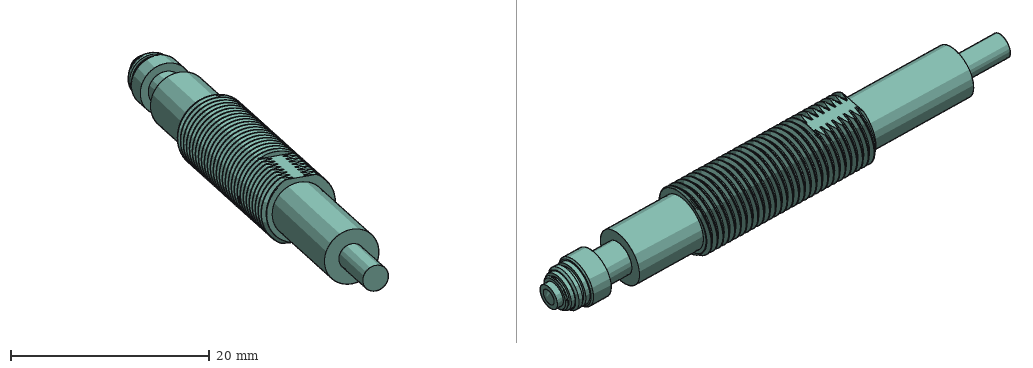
import cadquery as cq
import math

length = 58.8
nose_start = 0.4
collar_start = 1.2
collar_chamfer_end = 1.35
collar_groove_end = 1.65
ring_chamfer_start = 2.1
ring_chamfer_end = 2.35
ring_end = 2.8
flange_start = 3.25
flange_end = 3.75
head_start = 3.95
neck_start = 6.25
body_start = 9.6
thread_start = 17.8
flats_start = 33.75
thread_end = 39.7
pin_start = 52.8

tip_radius = 0.9
nose_radius = 1.4
collar_groove_radius = 1.75
collar_radius = 1.95
seal_groove_radius = 2.1
ring_chamfer_radius = 2.25
ring_radius = 2.45
head_chamfer_radius = 2.65
head_radius = 2.8
neck_radius = 1.95
body_radius = 3.2
sleeve_radius = 3.0
pin_radius = 1.4

thread_radius = 4.0
thread_root_radius = 3.6
thread_turns = 29.2
pitch = (thread_end - thread_start) / thread_turns
flank_angle = 30.0
root_width = 0.15
groove_turn = -110.0
run_out = 2 * pitch
mouth_clearance = 0.05
rod_seam_angle = 37.0

flat_height = 3.5


def turned_blank():
    """The whole stepped shaft from its conical tip, with a plain core where the thread goes."""
    profile = (
        cq.Workplane("XZ")
        .moveTo(0, 0)
        .lineTo(nose_start, tip_radius)
        .lineTo(nose_start, nose_radius)
        .lineTo(collar_start, nose_radius)
        .lineTo(collar_start, collar_groove_radius)
        .lineTo(collar_chamfer_end, collar_radius)
        .lineTo(collar_chamfer_end, collar_groove_radius)
        .lineTo(collar_groove_end, collar_groove_radius)
        .lineTo(collar_groove_end, seal_groove_radius)
        .lineTo(ring_chamfer_start, seal_groove_radius)
        .lineTo(ring_chamfer_start, ring_chamfer_radius)
        .lineTo(ring_chamfer_end, ring_radius)
        .lineTo(ring_end, ring_radius)
        .lineTo(ring_end, seal_groove_radius)
        .lineTo(flange_start, seal_groove_radius)
        .lineTo(flange_start, ring_radius)
        .lineTo(flange_end, ring_radius)
        .lineTo(flange_end, head_chamfer_radius)
        .lineTo(head_start, head_radius)
        .lineTo(neck_start, head_radius)
        .lineTo(neck_start, neck_radius)
        .lineTo(body_start, neck_radius)
        .lineTo(body_start, body_radius)
        .lineTo(thread_start, body_radius)
        .lineTo(thread_start, sleeve_radius)
        .lineTo(pin_start, sleeve_radius)
        .lineTo(pin_start, pin_radius)
        .lineTo(length, pin_radius)
        .lineTo(length, 0)
        .close()
    )
    return profile.revolve(360, (0, 0, 0), (1, 0, 0))


def thread_groove():
    """Right-handed helical V groove about Z, rising from Z = 0 and starting on the +X side."""
    groove_length = thread_end - thread_start + 2 * run_out
    outer_radius = thread_radius + mouth_clearance
    half_root = root_width / 2
    half_mouth = half_root + (outer_radius - thread_root_radius) * math.tan(math.radians(flank_angle))
    section = (
        cq.Workplane("XZ")
        .moveTo(thread_root_radius, -half_root)
        .lineTo(outer_radius, -half_mouth)
        .lineTo(outer_radius, half_mouth)
        .lineTo(thread_root_radius, half_root)
        .close()
    )
    helix = cq.Wire.makeHelix(pitch, groove_length, thread_root_radius)
    return section.sweep(cq.Workplane(helix), isFrenet=True)


def threaded_section():
    """Threaded length along X, trimmed from a longer rod so the groove runs out of both faces."""
    thread_length = thread_end - thread_start
    trim_width = 3 * thread_radius
    rod_length = thread_length + 4 * run_out
    rod = (
        cq.Workplane("XY")
        .workplane(offset=-run_out)
        .circle(thread_radius)
        .extrude(rod_length)
        .rotate((0, 0, 0), (0, 0, 1), rod_seam_angle)
        .cut(thread_groove())
    )
    trim = (
        cq.Workplane("XY")
        .workplane(offset=run_out)
        .rect(trim_width, trim_width)
        .extrude(thread_length)
    )
    return (
        rod.intersect(trim)
        .rotate((0, 0, 0), (0, 1, 0), 90)
        .rotate((0, 0, 0), (1, 0, 0), groove_turn)
        .translate((thread_start - run_out, 0, 0))
    )


def flat_cutters():
    """Blocks that mill the two opposite flats, top and bottom, at the rear of the thread."""
    cutter_depth = thread_radius
    cutters = cq.Workplane("XY")
    for side in (1, -1):
        cutter = cq.Workplane("XY").box(thread_end - flats_start, 2 * thread_radius, cutter_depth)
        center = (
            (flats_start + thread_end) / 2,
            0,
            side * (flat_height + cutter_depth / 2),
        )
        cutters = cutters.union(cutter.translate(center))
    return cutters


result = threaded_section().cut(flat_cutters()).union(turned_blank())